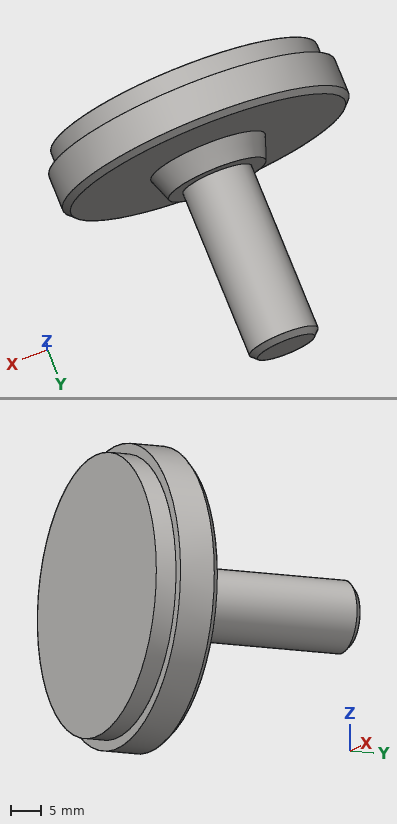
import cadquery as cq

pad_diameter = 46.5
pad_thickness = 3.5

disc_diameter = 50.0
disc_thickness = 7.0
disc_chamfer = 1.0

collar_base_diameter = 20.0
collar_top_diameter = 17.0
collar_height = 4.0

stud_diameter = 12.0
stud_length = 30.0
stud_chamfer = 1.0

disc_start = pad_thickness
disc_end = disc_start + disc_thickness
collar_end = disc_end + collar_height
stud_end = collar_end + stud_length

pad_radius = pad_diameter / 2
disc_radius = disc_diameter / 2
stud_radius = stud_diameter / 2

half_section = [
    (0, 0),
    (pad_radius, 0),
    (pad_radius, disc_start),
    (disc_radius, disc_start),
    (disc_radius, disc_end - disc_chamfer),
    (disc_radius - disc_chamfer, disc_end),
    (collar_base_diameter / 2, disc_end),
    (collar_top_diameter / 2, collar_end),
    (stud_radius, collar_end),
    (stud_radius, stud_end - stud_chamfer),
    (stud_radius - stud_chamfer, stud_end),
    (0, stud_end),
]

result = cq.Workplane("XY").polyline(half_section).close().revolve(360, (0, 0), (0, 1))